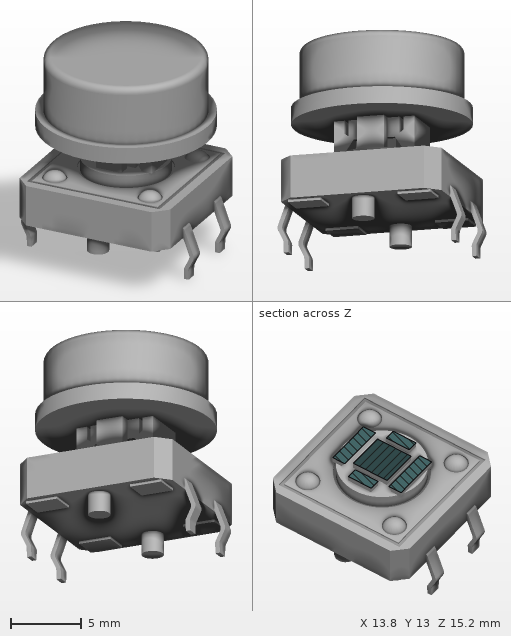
import cadquery as cq


HOUSING_BOTTOM = 3.2
HOUSING_TOP = 6.31
STUD_TOP = 6.79
DISK_TOP = 7.18
LEG_BOTTOM = 7.23
HEAD_BOTTOM = 8.17
FLANGE_BOTTOM = 9.62
FLANGE_TOP = 10.86
CAP_TOP = 15.25

HOUSING_WIDTH = 12.0
HOUSING_CHAMFER = 1.0
RECESS_WIDTH = 10.58
RECESS_DEPTH = 0.1
POST_DIAMETER = 1.6
POST_BOTTOM = 1.68
POST_OFFSET = 4.5
PAD_LENGTH = 2.45
PAD_WIDTH = 2.0
PAD_THICKNESS = 0.18
PAD_OFFSET = 4.1
STUD_DIAMETER = 1.8
STUD_FILLET = 0.81
STUD_OFFSET = 3.8

COVER_WIDTH = 10.0
COVER_HOLE_DIAMETER = 7.0

DISK_DIAMETER = 6.6
NECK_WIDTH = 2.99
HEAD_WIDTH = 3.8

CAP_DIAMETER = 11.8
FLANGE_DIAMETER = 13.0
CAP_FILLET = 0.5
HOOK_LEG_OUTER = 3.0
HOOK_LEG_INNER = 2.2
HOOK_TIP = 1.54
HOOK_SLOPE_TOP = 8.66
GUIDE_LEG_OUTER = 2.78
GUIDE_LEG_WIDTH = 2.03

LEAD_SPACING = 5.0
LEAD_WIDTH = 1.0
LEAD_TIP_WIDTH = 0.85
LEAD_THICKNESS = 0.35
LEAD_TOP = 4.03
SHOULDER_RADIUS = 0.26
SHOULDER_X = 6.16
SHOULDER_Z = 3.85
ELBOW_X = 6.92
ELBOW_Z = 1.81
KNEE_X = 6.44
KNEE_Z = 0.82
BEND_RADIUS = 0.49

RECESS_FLOOR = HOUSING_TOP - RECESS_DEPTH
HOUSING_FACE = HOUSING_WIDTH / 2


def block(length, width, bottom, top):
    """Box centred on the switch axis between two heights."""
    return cq.Workplane("XY").workplane(offset=bottom).rect(length, width).extrude(top - bottom)


def disk(diameter, bottom, top):
    """Cylinder on the switch axis between two heights."""
    return cq.Workplane("XY").workplane(offset=bottom).circle(diameter / 2).extrude(top - bottom)


def corner_copies(body, x_offset, y_offset):
    """Four copies of a body, one in each quadrant around the switch axis."""
    return [
        body.translate((x_side * x_offset, y_side * y_offset, 0))
        for x_side in (-1, 1)
        for y_side in (-1, 1)
    ]


def make_housing():
    """Square body with a shallow top recess, round-topped studs, locating posts and standoff pads."""
    body = block(HOUSING_WIDTH, HOUSING_WIDTH, HOUSING_BOTTOM, HOUSING_TOP)
    body = body.edges("|Z").chamfer(HOUSING_CHAMFER)
    body = body.cut(block(RECESS_WIDTH, RECESS_WIDTH, RECESS_FLOOR, HOUSING_TOP))

    stud = disk(STUD_DIAMETER, HOUSING_BOTTOM, STUD_TOP).faces(">Z").edges().fillet(STUD_FILLET)
    for corner_stud in corner_copies(stud, STUD_OFFSET, STUD_OFFSET):
        body = body.union(corner_stud)

    pad = block(PAD_LENGTH, PAD_WIDTH, HOUSING_BOTTOM - PAD_THICKNESS, HOUSING_BOTTOM)
    for corner_pad in corner_copies(pad, PAD_OFFSET, POST_OFFSET):
        body = body.union(corner_pad)

    post = disk(POST_DIAMETER, POST_BOTTOM, HOUSING_BOTTOM)
    for y_side in (-1, 1):
        body = body.union(post.translate((0, y_side * POST_OFFSET, 0)))
    return body


def make_cover():
    """Thin square plate in the recess, with holes for the plunger and the housing studs."""
    plate = block(COVER_WIDTH, COVER_WIDTH, RECESS_FLOOR, HOUSING_TOP)
    plate = plate.cut(disk(COVER_HOLE_DIAMETER, RECESS_FLOOR, HOUSING_TOP))
    stud_hole = disk(STUD_DIAMETER, RECESS_FLOOR, HOUSING_TOP)
    for corner_hole in corner_copies(stud_hole, STUD_OFFSET, STUD_OFFSET):
        plate = plate.cut(corner_hole)
    return plate


def make_plunger():
    """Round foot, square neck and wider square head that carries the cap."""
    foot = disk(DISK_DIAMETER, RECESS_FLOOR, DISK_TOP)
    neck = block(NECK_WIDTH, NECK_WIDTH, DISK_TOP, HEAD_BOTTOM)
    head = block(HEAD_WIDTH, HEAD_WIDTH, HEAD_BOTTOM, FLANGE_BOTTOM)
    return foot.union(neck).union(head)


def make_hook_leg():
    """Leg on the +X side whose pointed inner hook reaches under the plunger head."""
    outline = [
        (HOOK_LEG_OUTER, FLANGE_BOTTOM),
        (HOOK_LEG_OUTER, LEG_BOTTOM),
        (HOOK_LEG_INNER, LEG_BOTTOM),
        (HOOK_TIP, HEAD_BOTTOM),
        (HOOK_LEG_INNER, HOOK_SLOPE_TOP),
        (HOOK_LEG_INNER, FLANGE_BOTTOM),
    ]
    return cq.Workplane("XZ").polyline(outline).close().extrude(HEAD_WIDTH / 2, both=True)


def make_guide_leg():
    """Plain leg on the +Y side, flat against the plunger head."""
    inner = HEAD_WIDTH / 2
    leg = block(GUIDE_LEG_WIDTH, GUIDE_LEG_OUTER - inner, LEG_BOTTOM, FLANGE_BOTTOM)
    return leg.translate((0, (GUIDE_LEG_OUTER + inner) / 2, 0))


def make_cap(plunger):
    """Round cap with a flange, two hooked legs and two guide legs, fitted to the plunger."""
    cap = disk(CAP_DIAMETER, FLANGE_BOTTOM, CAP_TOP).faces(">Z").edges().fillet(CAP_FILLET)
    cap = cap.union(disk(FLANGE_DIAMETER, FLANGE_BOTTOM, FLANGE_TOP))
    for leg in (make_hook_leg(), make_guide_leg()):
        cap = cap.union(leg)
        cap = cap.union(leg.rotate((0, 0, 0), (0, 0, 1), 180))
    return cap.cut(plunger)


def make_lead():
    """Bent strip on the +X face of the housing, centred on Y = 0, with a tapered tip."""
    upper_slope = (SHOULDER_Z - ELBOW_Z) / (ELBOW_X - SHOULDER_X)
    inner_elbow_x = ELBOW_X - LEAD_THICKNESS
    inner_root_z = ELBOW_Z + upper_slope * (inner_elbow_x - HOUSING_FACE)
    inner_tip_x = KNEE_X - LEAD_THICKNESS

    strip = (
        cq.Workplane("XZ")
        .moveTo(HOUSING_FACE, LEAD_TOP)
        .radiusArc((SHOULDER_X, SHOULDER_Z), SHOULDER_RADIUS)
        .lineTo(ELBOW_X, ELBOW_Z)
        .lineTo(KNEE_X, KNEE_Z)
        .lineTo(KNEE_X, 0)
        .lineTo(inner_tip_x, 0)
        .lineTo(inner_tip_x, KNEE_Z)
        .lineTo(inner_elbow_x, ELBOW_Z)
        .lineTo(HOUSING_FACE, inner_root_z)
        .close()
        .extrude(LEAD_WIDTH / 2, both=True)
    )
    margin = LEAD_THICKNESS / 2
    bend_edges = cq.selectors.BoxSelector(
        (inner_tip_x - margin, -LEAD_WIDTH, KNEE_Z - margin),
        (ELBOW_X + margin, LEAD_WIDTH, ELBOW_Z + margin),
    )
    strip = strip.edges("|Y").edges(bend_edges).fillet(BEND_RADIUS)

    half_width = LEAD_WIDTH / 2
    half_tip = LEAD_TIP_WIDTH / 2
    width_outline = [
        (-half_tip, 0),
        (half_tip, 0),
        (half_width, KNEE_Z),
        (half_width, LEAD_TOP),
        (-half_width, LEAD_TOP),
        (-half_width, KNEE_Z),
    ]
    envelope = cq.Workplane("YZ").polyline(width_outline).close().extrude(ELBOW_X)
    return strip.intersect(envelope)


def make_leads():
    """Two leads on each of the -X and +X faces."""
    leads = []
    for angle in (0, 180):
        for y_side in (-1, 1):
            lead = make_lead().translate((0, y_side * LEAD_SPACING / 2, 0))
            leads.append(lead.rotate((0, 0, 0), (0, 0, 1), angle))
    return leads


housing = make_housing()
cover = make_cover()
plunger = make_plunger()
cap = make_cap(plunger)
leads = make_leads()

bodies = [housing, cover, plunger, cap, *leads]
result = cq.Compound.makeCompound([body.solids().val() for body in bodies])